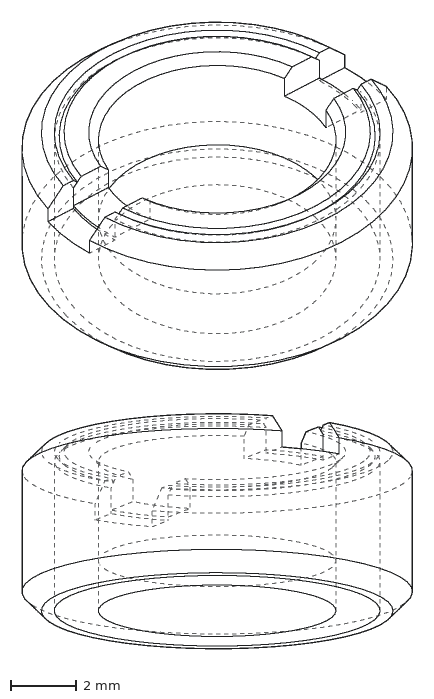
import cadquery as cq

outer_radius = 6.0
height = 5.0
outer_chamfer = 0.6

ring_radius = 5.0
ring_chamfer = 0.3
bore_radius = 3.65
bore_chamfer = 0.3

groove_depth = ring_chamfer / 2
groove_bottom_radius = ring_radius - groove_depth

slot_width = 2.0
ring_slot_depth = 1.0
housing_slot_depth = 1.1

lens_edge_height = 1.57
lens_dome_rise = 0.24


def revolve_profile(profile):
    """Turn a profile drawn in radius and height around the Z axis."""
    return profile.close().revolve(360, (0, 0, 0), (0, 1, 0))


def slot_cutter(depth):
    """Box that cuts the driver slot down from the top face, right across Y."""
    return (
        cq.Workplane("XY", origin=(0, 0, height - depth))
        .box(slot_width, 2 * outer_radius, depth, centered=(True, True, False))
    )


def make_housing():
    """Outer ring, chamfered top and bottom, whose bore fits the retaining ring."""
    profile = (
        cq.Workplane("XZ")
        .moveTo(ring_radius, 0)
        .lineTo(outer_radius - outer_chamfer, 0)
        .lineTo(outer_radius, outer_chamfer)
        .lineTo(outer_radius, height - outer_chamfer)
        .lineTo(outer_radius - outer_chamfer, height)
        .lineTo(ring_radius, height)
        .lineTo(groove_bottom_radius, height - groove_depth)
        .lineTo(ring_radius, height - ring_chamfer)
    )
    return revolve_profile(profile).cut(slot_cutter(housing_slot_depth))


def make_retaining_ring():
    """Inner ring, chamfered at both top edges, that surrounds the lens."""
    profile = (
        cq.Workplane("XZ")
        .moveTo(bore_radius, 0)
        .lineTo(ring_radius, 0)
        .lineTo(ring_radius, height - ring_chamfer)
        .lineTo(ring_radius - ring_chamfer, height)
        .lineTo(bore_radius + bore_chamfer, height)
        .lineTo(bore_radius, height - bore_chamfer)
    )
    return revolve_profile(profile).cut(slot_cutter(ring_slot_depth))


def make_lens():
    """Disc with a flat base and a shallow spherical top."""
    dome_radius = (bore_radius**2 + lens_dome_rise**2) / (2 * lens_dome_rise)
    apex_height = lens_edge_height + lens_dome_rise
    middle_radius = bore_radius / 2
    middle_height = apex_height - dome_radius + (dome_radius**2 - middle_radius**2) ** 0.5
    profile = (
        cq.Workplane("XZ")
        .lineTo(bore_radius, 0)
        .lineTo(bore_radius, lens_edge_height)
        .threePointArc((middle_radius, middle_height), (0, apex_height))
    )
    return revolve_profile(profile)


housing = make_housing()
retaining_ring = make_retaining_ring()
lens = make_lens()

result = cq.Compound.makeCompound([housing.val(), retaining_ring.val(), lens.val()])